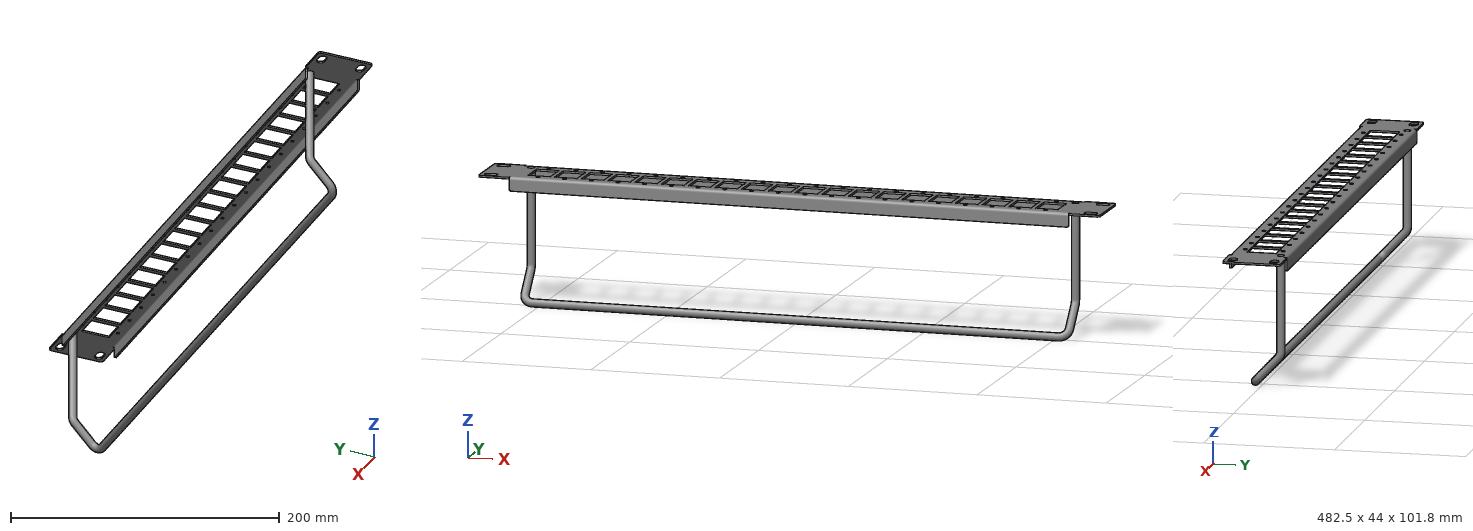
import cadquery as cq
import math


panel_length = 482.5
panel_width = 44.0
sheet = 1.5
corner_radius = 2.5

flange_length = 434.5
flange_depth = 10.5
fold_radius = 2.5
flange_corner_radius = 1.5

slot_length = 10.0
slot_width = 6.5
slot_spacing_x = 465.5
slot_spacing_y = 32.0

window_count = 20
window_pitch = 20.8
window_width = 17.5
window_height = 22.0
window_hole_diameter = 2.25
window_hole_rim_diameter = 3.0
window_hole_spacing = 29.0

countersink_taper = 45

rod_diameter = 6.5
rod_spacing = 422.8
rod_leg_y = 16.0
rod_bar_y = -5.0
rod_drop = 98.5
rod_tilt = 43.0
rod_bend_radius = 7.0

screw_head_diameter = 5.5
screw_clearance_diameter = 3.5
thread_diameter = 2.45
thread_depth = 8.5
pilot_diameter = 2.25
pilot_depth = 16.0


def box_below(length, width, height, top=0.0):
    """Box centred in X and Y that reaches down from the level `top`."""
    return (
        cq.Workplane("XY", origin=(0, 0, top - height))
        .box(length, width, height, centered=(True, True, False))
    )


def make_panel():
    """Flat sheet with radiused corners and both flanges folded down."""
    flat_sheet = box_below(panel_length, panel_width, sheet).edges("|Z").fillet(corner_radius)

    channel = box_below(flange_length, panel_width, flange_depth)
    channel = channel.edges("|X and >Z").fillet(fold_radius)
    inside = box_below(flange_length, panel_width - 2 * sheet, flange_depth, top=-sheet)
    inside = inside.edges("|X and >Z").fillet(fold_radius - sheet)
    channel = channel.cut(inside).edges("|Y and <Z").fillet(flange_corner_radius)

    folded_zone = box_below(flange_length, panel_width, sheet)
    return flat_sheet.cut(folded_zone).union(channel)


def cut_mounting_slots(panel):
    slots = (
        cq.Workplane("XY")
        .rarray(slot_spacing_x, slot_spacing_y, 2, 2)
        .slot2D(slot_length, slot_width)
        .extrude(-sheet)
    )
    return panel.cut(slots)


def cut_windows(panel):
    windows = (
        cq.Workplane("XY")
        .rarray(window_pitch, 5, window_count, 1)
        .rect(window_width, window_height)
        .extrude(-sheet)
    )
    return panel.cut(windows)


def cut_window_holes(panel):
    """Small 90 degree countersunk through holes in line with the windows."""
    hole_places = cq.Workplane("XY").rarray(window_pitch, window_hole_spacing, window_count, 2)
    holes = hole_places.circle(window_hole_diameter / 2).extrude(-sheet)
    rim_depth = (window_hole_rim_diameter - window_hole_diameter) / 2
    rims = hole_places.circle(window_hole_rim_diameter / 2).extrude(-rim_depth, taper=countersink_taper)
    return panel.cut(holes).cut(rims)


def rounded_path(corners, radius):
    """Wire through the corner points, every inner corner replaced by a tangent arc."""
    edges = []
    start = corners[0]
    for before, corner, after in zip(corners, corners[1:], corners[2:]):
        to_before = (before - corner).normalized()
        to_after = (after - corner).normalized()
        half_angle = to_before.getAngle(to_after) / 2
        setback = radius / math.tan(half_angle)
        gap = radius / math.sin(half_angle) - radius
        arc_start = corner + to_before * setback
        arc_middle = corner + (to_before + to_after).normalized() * gap
        arc_end = corner + to_after * setback
        edges.append(cq.Edge.makeLine(start, arc_start))
        edges.append(cq.Edge.makeThreePointArc(arc_start, arc_middle, arc_end))
        start = arc_end
    edges.append(cq.Edge.makeLine(start, corners[-1]))
    return cq.Wire.assembleEdges(edges)


def make_rod():
    """U-shaped rod whose legs hang from the panel and tilt toward -Y at the bottom."""
    leg_x = rod_spacing / 2
    knee_z = -rod_drop + (rod_leg_y - rod_bar_y) / math.tan(math.radians(rod_tilt))
    corners = [
        cq.Vector(-leg_x, rod_leg_y, -sheet),
        cq.Vector(-leg_x, rod_leg_y, knee_z),
        cq.Vector(-leg_x, rod_bar_y, -rod_drop),
        cq.Vector(leg_x, rod_bar_y, -rod_drop),
        cq.Vector(leg_x, rod_leg_y, knee_z),
        cq.Vector(leg_x, rod_leg_y, -sheet),
    ]
    return (
        cq.Workplane("XY", origin=corners[0].toTuple())
        .circle(rod_diameter / 2)
        .sweep(cq.Workplane(rounded_path(corners, rod_bend_radius)))
    )


def cut_rod_screw_holes(body):
    """Countersink the panel over each leg and sink the stepped bore into the rod."""
    leg_places = cq.Workplane("XY", origin=(0, rod_leg_y, 0)).rarray(rod_spacing, 5, 2, 1)
    head_depth = (screw_head_diameter - screw_clearance_diameter) / 2
    heads = leg_places.circle(screw_head_diameter / 2).extrude(-head_depth, taper=countersink_taper)
    body = body.cut(heads)
    bore_steps = [
        (screw_clearance_diameter, sheet),
        (thread_diameter, thread_depth),
        (pilot_diameter, pilot_depth),
    ]
    for diameter, depth in bore_steps:
        body = body.cut(leg_places.circle(diameter / 2).extrude(-depth))
    return body


panel = make_panel()
panel = cut_mounting_slots(panel)
panel = cut_windows(panel)
panel = cut_window_holes(panel)
result = cut_rod_screw_holes(panel.union(make_rod()))